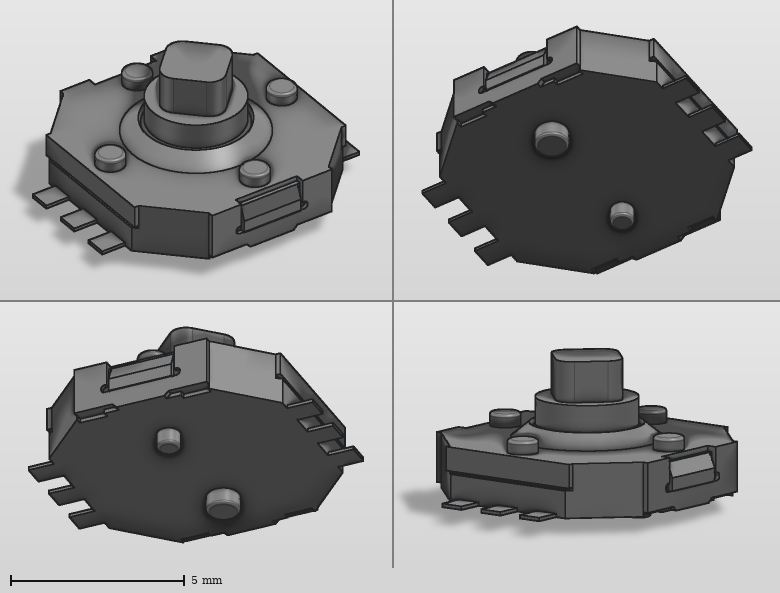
import cadquery as cq

cover_bottom = 0.9
cover_top = 1.6
cover_thickness = 0.16
base_top = cover_top - cover_thickness
dome_top = 2.04
stud_top = 2.0
collar_top = 2.8
stem_top = 4.0

half_base = 3.7
half_straight_side = 2.1
corner_cut = half_base - half_straight_side

groove_bottom = 0.81
half_groove_floor = 3.55
half_end_flange = half_base + half_straight_side - half_groove_floor

half_flange = 3.87
flange_bottom = 0.135
foot_half_width = 0.76
foot_half_root = foot_half_width + flange_bottom

pocket_inner_y = 1.215
pocket_outer_y = 2.07
pocket_depth = 0.18

half_window = 1.07
window_inner_x = 3.58
slot_bottom = 0.6
slot_top = 0.85
slot_half_length = 1.25
half_tab = 0.99
width_over_tabs = 7.8
tab_face_x = width_over_tabs / 2
window_back_x = 3.73
tab_bend_height = 1.0

dome_base_radius = 2.205
rim_radius = 1.665
bore_radius = 1.6
bore_top = 1.88

collar_diameter = 3.0
collar_radius = collar_diameter / 2
skirt_top = 2.0
stem_width = 1.94
stem_corner_radius = 0.49

stud_diameter = 0.9
stud_offset = 3.0
pin_length = 0.5
pin_offset = 1.9
small_pin_diameter = 0.7
large_pin_diameter = 1.0
edge_round = 0.1

terminal_width = 0.7
terminal_thickness = 0.11
terminal_pitch = 1.42
terminal_reach = 4.5


def block(x_range, y_range, z_range):
    """Box between two limits along each axis."""
    (x0, x1), (y0, y1), (z0, z1) = x_range, y_range, z_range
    return cq.Workplane("XY").box(x1 - x0, y1 - y0, z1 - z0, centered=False).translate((x0, y0, z0))


def mirrored_pair(shape, plane):
    """The shape together with its mirror image."""
    return shape.union(shape.mirror(plane))


def octagonal_base():
    side = 2 * half_base
    return (
        cq.Workplane("XY")
        .rect(side, side)
        .extrude(cover_top)
        .edges("|Z")
        .chamfer(corner_cut)
    )


def cover_groove():
    """Groove on the +Y side, leaving the end flange of the cover above it."""
    return block(
        (-half_base, half_base),
        (half_groove_floor, half_base),
        (groove_bottom, cover_bottom),
    )


def end_flange():
    """Cover flange on the +Y side."""
    return block(
        (-half_end_flange, half_end_flange),
        (half_groove_floor, half_base),
        (cover_bottom, cover_top),
    )


def side_flange():
    """Cover flange on the +X side, with a tapered foot reaching the underside."""
    return (
        cq.Workplane("YZ", origin=(half_base, 0, 0))
        .moveTo(-half_straight_side, cover_top)
        .lineTo(-half_straight_side, flange_bottom)
        .lineTo(-foot_half_root, flange_bottom)
        .lineTo(-foot_half_width, 0)
        .lineTo(foot_half_width, 0)
        .lineTo(foot_half_root, flange_bottom)
        .lineTo(half_straight_side, flange_bottom)
        .lineTo(half_straight_side, cover_top)
        .close()
        .extrude(half_flange - half_base)
    )


def latch_window():
    """Opening in the +X flange: notch in the cover top, window, and round-ended relief slot."""
    across_window = (-half_window, half_window)
    notch = block((window_inner_x, half_flange), across_window, (base_top, cover_top))
    window = block((window_back_x, half_flange), across_window, (slot_bottom, cover_top))
    relief_slot = (
        cq.Workplane("YZ", origin=(window_back_x, 0, (slot_bottom + slot_top) / 2))
        .slot2D(2 * slot_half_length, slot_top - slot_bottom)
        .extrude(half_flange - window_back_x)
    )
    return notch.union(window).union(relief_slot)


def latch_tab():
    """Tab in the +X window, standing proud of the flange and leaning in to the back of the window."""
    return (
        cq.Workplane("XZ", origin=(0, half_tab, 0))
        .moveTo(window_back_x, slot_bottom)
        .lineTo(tab_face_x, slot_bottom)
        .lineTo(tab_face_x, tab_bend_height)
        .lineTo(window_back_x, base_top)
        .close()
        .extrude(2 * half_tab)
    )


def base_pockets():
    """Two open pockets in the foot of the base on the +X side."""
    pocket = block(
        (half_base - pocket_depth, half_base),
        (pocket_inner_y, pocket_outer_y),
        (0, flange_bottom),
    )
    return mirrored_pair(pocket, "XZ")


def dome():
    return (
        cq.Workplane("XZ")
        .moveTo(0, cover_top)
        .lineTo(dome_base_radius, cover_top)
        .lineTo(rim_radius, dome_top)
        .lineTo(0, dome_top)
        .close()
        .revolve()
    )


def dome_opening():
    """Bore down to the base, flaring out to the rim of the dome."""
    return (
        cq.Workplane("XZ")
        .moveTo(0, base_top)
        .lineTo(bore_radius, base_top)
        .lineTo(bore_radius, bore_top)
        .lineTo(rim_radius, dome_top)
        .lineTo(0, dome_top)
        .close()
        .revolve()
    )


def studs():
    """Four round studs standing on the cover."""
    return (
        cq.Workplane("XY", origin=(0, 0, cover_top))
        .polarArray(stud_offset, 0, 360, 4)
        .circle(stud_diameter / 2)
        .extrude(stud_top - cover_top)
        .faces(">Z")
        .edges()
        .fillet(edge_round)
    )


def locating_pin(x, diameter):
    return (
        cq.Workplane("XY", origin=(x, 0, 0))
        .circle(diameter / 2)
        .extrude(-pin_length)
        .faces("<Z")
        .edges()
        .fillet(edge_round)
    )


def terminal(x):
    """Flat terminal running out of the +Y side."""
    return block(
        (x - terminal_width / 2, x + terminal_width / 2),
        (half_base, terminal_reach),
        (0, terminal_thickness),
    )


def make_housing():
    body = octagonal_base()
    body = body.cut(mirrored_pair(cover_groove(), "XZ"))
    body = body.union(mirrored_pair(side_flange(), "YZ"))
    body = body.cut(mirrored_pair(base_pockets(), "YZ"))
    body = body.cut(mirrored_pair(latch_window(), "YZ"))
    body = body.union(mirrored_pair(latch_tab(), "YZ"))
    body = body.union(mirrored_pair(end_flange(), "XZ"))
    body = body.union(dome()).cut(dome_opening())
    body = body.union(studs())
    body = body.union(locating_pin(-pin_offset, small_pin_diameter))
    body = body.union(locating_pin(pin_offset, large_pin_diameter))
    for x in (-terminal_pitch, 0, terminal_pitch):
        body = body.union(mirrored_pair(terminal(x), "XZ"))
    return body


def make_plunger():
    """Round collar with a flared skirt seated in the bore, and a square stem turned by 45 degrees."""
    collar = (
        cq.Workplane("XZ")
        .moveTo(0, base_top)
        .lineTo(bore_radius, base_top)
        .lineTo(bore_radius, bore_top)
        .lineTo(collar_radius, skirt_top)
        .lineTo(collar_radius, collar_top)
        .lineTo(0, collar_top)
        .close()
        .revolve()
    )
    stem = (
        cq.Workplane("XY", origin=(0, 0, collar_top))
        .rect(stem_width, stem_width)
        .extrude(stem_top - collar_top)
        .edges("|Z")
        .fillet(stem_corner_radius)
        .rotate((0, 0, 0), (0, 0, 1), 45)
    )
    return collar.union(stem)


housing = make_housing()
plunger = make_plunger()
result = cq.Compound.makeCompound([housing.val(), plunger.val()])